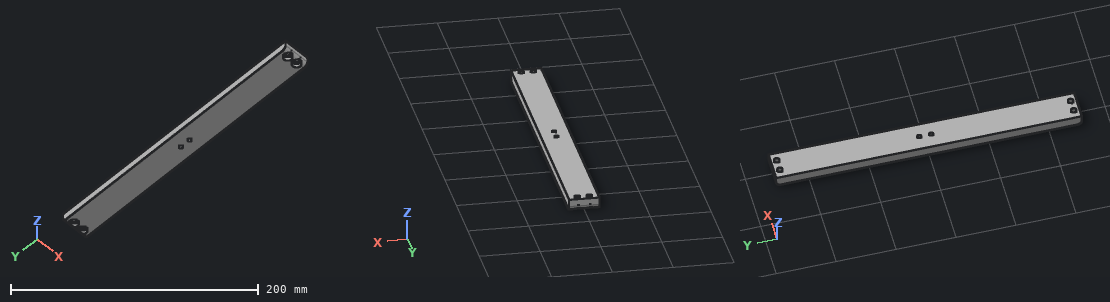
import cadquery as cq

WIDTH = 25.0
LENGTH = 255.0
THICKNESS = 10.0
END_RADIUS = 4.0

END_HOLE_DIAMETER = 4.5
END_HOLE_SPACING = 10.0
END_HOLE_INSET = 5.0
COUNTERBORE_DIAMETER = 8.0
COUNTERBORE_DEPTH = 4.5

CENTRE_HOLE_DIAMETER = 3.3
CENTRE_HOLE_SPACING = 10.0


def make_bar():
    """Rectangular bar with the lower edge of each end rounded."""
    bar = cq.Workplane("XY").box(WIDTH, LENGTH, THICKNESS, centered=(True, True, False))
    return bar.faces("<Z").edges("|X").fillet(END_RADIUS)


def bores(points, diameter, depth):
    """Vertical cylinders rising from the underside at the given points."""
    return cq.Workplane("XY").pushPoints(points).circle(diameter / 2).extrude(depth)


end_hole_x = END_HOLE_SPACING / 2
end_hole_y = LENGTH / 2 - END_HOLE_INSET
centre_hole_y = CENTRE_HOLE_SPACING / 2

end_points = [(x, y) for x in (-end_hole_x, end_hole_x) for y in (-end_hole_y, end_hole_y)]
centre_points = [(0, -centre_hole_y), (0, centre_hole_y)]

result = (
    make_bar()
    .cut(bores(end_points, END_HOLE_DIAMETER, THICKNESS))
    .cut(bores(end_points, COUNTERBORE_DIAMETER, COUNTERBORE_DEPTH))
    .cut(bores(centre_points, CENTRE_HOLE_DIAMETER, THICKNESS))
)